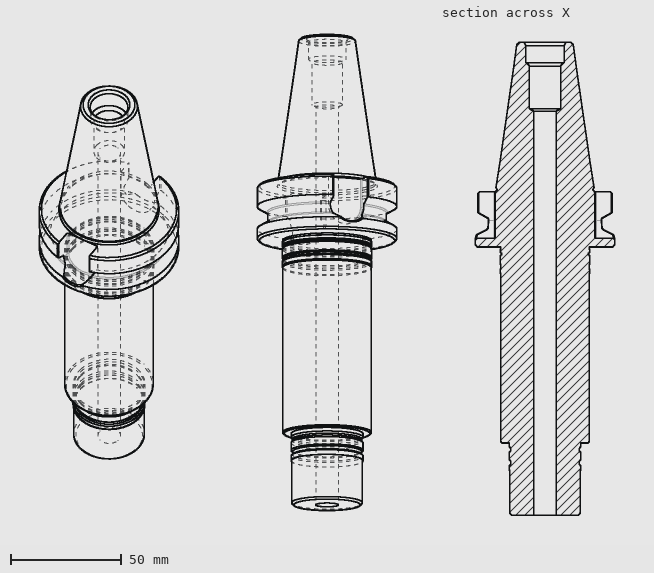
import cadquery as cq
import math


GAUGE_DIAMETER = 44.45
TAPER_LENGTH = 65.4
TAPER_RATIO = 7 / 24
TAPER_TIP_CHAMFER = 1.0
RELIEF_DEPTH = 0.5
RELIEF_BOTTOM = -1.2
RELIEF_BASE_DIAMETER = 45.2

FLANGE_DIAMETER = 63.0
FLANGE_TOP = -2.0
FLANGE_BOTTOM = -27.0
FLANGE_CHAMFER = 1.0
GRIP_DIAMETER = 53.6
GRIP_CENTRE = -16.5
GRIP_FLOOR_WIDTH = 4.8
GRIP_FLANK_ANGLE = 30.0
GRIP_FILLET = 0.8

SLOT_WIDTH = 16.1
SLOT_FLOOR = 22.6
SLOT_END = -23.0
SLOT_CHAMFER = 0.6
SLOT_FILLET = 0.6

BOTTOM = -148.0
UPPER_COLLAR_DIAMETER = 40.5
UPPER_COLLAR_TOP = -27.9
UPPER_COLLAR_BOTTOM = -39.4
UPPER_COLLAR_CHAMFER = 0.6
BODY_DIAMETER = 40.0
BODY_BOTTOM = -115.4
BODY_CHAMFER = 0.6
LOWER_COLLAR_DIAMETER = 32.5
LOWER_COLLAR_BOTTOM = -127.7
NOSE_DIAMETER = 32.0
NOSE_CHAMFER = 1.0

RING_GROOVES = [
    (UPPER_COLLAR_DIAMETER, -29.3, -30.9, 0.5, 0.5),
    (UPPER_COLLAR_DIAMETER, -34.8, -36.9, 0.25, 0.65),
    (LOWER_COLLAR_DIAMETER, -117.0, -119.6, 0.7, 0.9),
    (LOWER_COLLAR_DIAMETER, -123.0, -125.6, 0.7, 0.6),
]

BORE_DIAMETER = 10.11
THREAD_DIAMETER = 13.83
THREAD_DEPTH = 30.0
COUNTERBORE_DIAMETER = 17.0
COUNTERBORE_DEPTH = 9.2
MOUTH_DIAMETER = 18.8
MOUTH_HALF_ANGLE = 30.0
LEAD_IN_HALF_ANGLE = 45.0
DRILL_HALF_ANGLE = 60.0


def revolve_profile(points):
    """Revolve a closed outline of (radius, height) points about Z."""
    outline = cq.Workplane("XZ").polyline(points).close()
    return outline.revolve(360, (0, 0, 0), (0, 1, 0))


def make_holder():
    gauge_radius = GAUGE_DIAMETER / 2
    tip_radius = gauge_radius - TAPER_LENGTH * TAPER_RATIO / 2
    relief_radius = gauge_radius - RELIEF_DEPTH
    flange_radius = FLANGE_DIAMETER / 2
    grip_radius = GRIP_DIAMETER / 2
    flank = (flange_radius - grip_radius) * math.tan(math.radians(GRIP_FLANK_ANGLE))
    grip_top = GRIP_CENTRE + GRIP_FLOOR_WIDTH / 2
    grip_bottom = GRIP_CENTRE - GRIP_FLOOR_WIDTH / 2
    body_radius = BODY_DIAMETER / 2
    upper_collar_radius = UPPER_COLLAR_DIAMETER / 2
    lower_collar_radius = LOWER_COLLAR_DIAMETER / 2
    nose_radius = NOSE_DIAMETER / 2
    return revolve_profile([
        (0, TAPER_LENGTH),
        (tip_radius - TAPER_TIP_CHAMFER, TAPER_LENGTH),
        (tip_radius + TAPER_TIP_CHAMFER * TAPER_RATIO / 2, TAPER_LENGTH - TAPER_TIP_CHAMFER),
        (gauge_radius, 0),
        (relief_radius, RELIEF_BOTTOM),
        (RELIEF_BASE_DIAMETER / 2, FLANGE_TOP),
        (flange_radius - FLANGE_CHAMFER, FLANGE_TOP),
        (flange_radius, FLANGE_TOP - FLANGE_CHAMFER),
        (flange_radius, grip_top + flank),
        (grip_radius, grip_top),
        (grip_radius, grip_bottom),
        (flange_radius, grip_bottom - flank),
        (flange_radius, FLANGE_BOTTOM + FLANGE_CHAMFER),
        (flange_radius - FLANGE_CHAMFER, FLANGE_BOTTOM),
        (body_radius, FLANGE_BOTTOM),
        (body_radius, UPPER_COLLAR_TOP),
        (upper_collar_radius, UPPER_COLLAR_TOP),
        (upper_collar_radius, UPPER_COLLAR_BOTTOM + UPPER_COLLAR_CHAMFER),
        (body_radius, UPPER_COLLAR_BOTTOM),
        (body_radius, BODY_BOTTOM + BODY_CHAMFER),
        (body_radius - BODY_CHAMFER, BODY_BOTTOM),
        (lower_collar_radius, BODY_BOTTOM),
        (lower_collar_radius, LOWER_COLLAR_BOTTOM),
        (nose_radius, LOWER_COLLAR_BOTTOM),
        (nose_radius, BOTTOM + NOSE_CHAMFER),
        (nose_radius - NOSE_CHAMFER, BOTTOM),
        (0, BOTTOM),
    ])


def make_ring_groove(diameter, top, bottom, depth, flank):
    radius = diameter / 2
    outside = radius + depth
    return revolve_profile([
        (outside, top),
        (radius, top),
        (radius - depth, top - flank),
        (radius - depth, bottom + flank),
        (radius, bottom),
        (outside, bottom),
    ])


def make_bore():
    mouth_radius = MOUTH_DIAMETER / 2
    counterbore_radius = COUNTERBORE_DIAMETER / 2
    thread_radius = THREAD_DIAMETER / 2
    bore_radius = BORE_DIAMETER / 2
    counterbore_floor = TAPER_LENGTH - COUNTERBORE_DEPTH
    mouth_depth = (mouth_radius - counterbore_radius) / math.tan(math.radians(MOUTH_HALF_ANGLE))
    thread_lead_in = (counterbore_radius - thread_radius) / math.tan(math.radians(LEAD_IN_HALF_ANGLE))
    drill_tip = (thread_radius - bore_radius) / math.tan(math.radians(DRILL_HALF_ANGLE))
    thread_end = TAPER_LENGTH - THREAD_DEPTH
    return revolve_profile([
        (0, TAPER_LENGTH),
        (mouth_radius, TAPER_LENGTH),
        (counterbore_radius, TAPER_LENGTH - mouth_depth),
        (counterbore_radius, counterbore_floor),
        (thread_radius, counterbore_floor - thread_lead_in),
        (thread_radius, thread_end),
        (bore_radius, thread_end - drill_tip),
        (bore_radius, BOTTOM),
        (0, BOTTOM),
    ])


def make_drive_slot(side):
    """Round-ended slot cut into the flange; side is +1 for +Y, -1 for -Y."""
    half = SLOT_WIDTH / 2
    arc_centre = SLOT_END + half
    outline = (
        cq.Workplane("XZ", origin=(0, side * SLOT_FLOOR, 0))
        .moveTo(-half, FLANGE_TOP)
        .lineTo(-half, arc_centre)
        .threePointArc((0, SLOT_END), (half, arc_centre))
        .lineTo(half, FLANGE_TOP)
        .close()
    )
    slot = outline.extrude(-side * FLANGE_DIAMETER / 2)
    floor_face = "<Y" if side > 0 else ">Y"
    return slot.faces(floor_face).edges("not >Z").fillet(SLOT_FILLET)


def is_slot_rim_edge(edge):
    """True for the slot edges that lie on the cylindrical rim of the flange."""
    start, middle = edge.positionAt(0), edge.positionAt(0.5)
    on_rim = all(
        math.isclose(math.hypot(point.x, point.y), FLANGE_DIAMETER / 2, abs_tol=0.001)
        for point in (start, middle)
    )
    follows_slot = edge.BoundingBox().zlen > SLOT_CHAMFER / 2
    beside_slot = abs(middle.x) < SLOT_WIDTH / 2 + SLOT_CHAMFER
    return on_rim and follows_slot and beside_slot


def chamfer_slot_edges(body):
    rim_edges = [edge for edge in body.edges().vals() if is_slot_rim_edge(edge)]
    return body.newObject(rim_edges).chamfer(SLOT_CHAMFER)


def fillet_grip_floor(body):
    floor_edges = [
        edge for edge in body.edges("%CIRCLE").vals()
        if math.isclose(edge.radius(), GRIP_DIAMETER / 2, abs_tol=0.001)
    ]
    return body.newObject(floor_edges).fillet(GRIP_FILLET)


result = fillet_grip_floor(make_holder())
for groove in RING_GROOVES:
    result = result.cut(make_ring_groove(*groove))
for slot_side in (1, -1):
    result = result.cut(make_drive_slot(slot_side))
result = chamfer_slot_edges(result)
result = result.cut(make_bore())